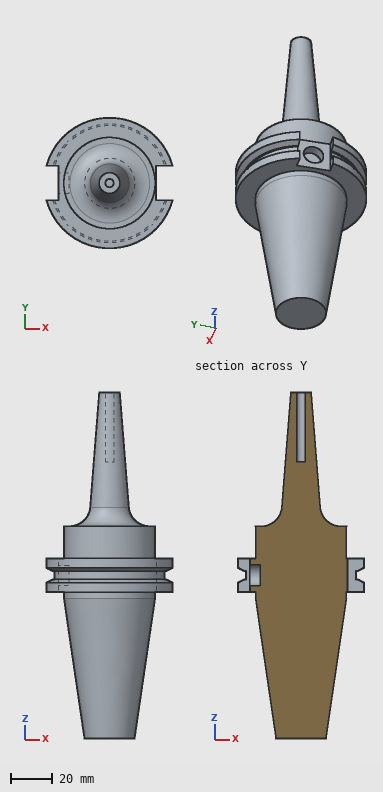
import cadquery as cq
import math

total_height = 168.2
gauge_height = 68.3
flange_bottom = 71.2
flange_top = 87.7
shoulder_height = 103.3

shank_end_diameter = 24.4
body_diameter = 44.5
flange_diameter = 63.6
nose_tip_diameter = 10.1
bore_diameter = 4.0

nose_half_angle = 4.5
blend_radius = 10.0

groove_root_diameter = 56.2
groove_ledge_diameter = 57.7
groove_root_width = 4.0
groove_mouth_width = 7.0
groove_height = (flange_bottom + flange_top) / 2
groove_clearance = 1.7

slot_width = 16.7
slot_floor_left = 24.9
slot_floor_right = 22.7

recess_diameter = 10.0
recess_depth = 5.0
bore_depth = 33.6


def revolve_about_z(sketch):
    return sketch.close().revolve(360, (0, 0, 0), (0, 1, 0))


def make_body():
    body_radius = body_diameter / 2
    flange_radius = flange_diameter / 2
    tip_radius = nose_tip_diameter / 2
    angle = math.radians(nose_half_angle)

    blend_center_height = shoulder_height + blend_radius
    cone_end_height = blend_center_height - blend_radius * math.sin(angle)
    cone_end_radius = tip_radius + (total_height - cone_end_height) * math.tan(angle)
    blend_center_radius = cone_end_radius + blend_radius * math.cos(angle)
    mid_angle = (math.pi / 2 + angle) / 2
    blend_middle = (
        blend_center_radius - blend_radius * math.cos(mid_angle),
        blend_center_height - blend_radius * math.sin(mid_angle),
    )

    sketch = (
        cq.Workplane("XZ")
        .lineTo(shank_end_diameter / 2, 0)
        .lineTo(body_radius, gauge_height)
        .lineTo(body_radius, flange_bottom)
        .lineTo(flange_radius, flange_bottom)
        .lineTo(flange_radius, flange_top)
        .lineTo(body_radius, flange_top)
        .lineTo(body_radius, shoulder_height)
        .lineTo(blend_center_radius, shoulder_height)
        .threePointArc(blend_middle, (cone_end_radius, cone_end_height))
        .lineTo(tip_radius, total_height)
        .lineTo(0, total_height)
    )
    return revolve_about_z(sketch)


def make_gripper_groove():
    root_radius = groove_root_diameter / 2
    ledge_radius = groove_ledge_diameter / 2
    mouth_radius = flange_diameter / 2
    clear_radius = mouth_radius + groove_clearance
    root_bottom = groove_height - groove_root_width / 2
    root_top = groove_height + groove_root_width / 2
    mouth_bottom = groove_height - groove_mouth_width / 2
    mouth_top = groove_height + groove_mouth_width / 2
    sketch = (
        cq.Workplane("XZ")
        .moveTo(root_radius, root_bottom)
        .lineTo(ledge_radius, root_bottom)
        .lineTo(mouth_radius, mouth_bottom)
        .lineTo(clear_radius, mouth_bottom)
        .lineTo(clear_radius, mouth_top)
        .lineTo(mouth_radius, mouth_top)
        .lineTo(ledge_radius, root_top)
        .lineTo(root_radius, root_top)
    )
    return revolve_about_z(sketch)


def make_drive_slot(side, floor_distance):
    """Slot cutter on the -X (side = -1) or +X (side = 1) side of the flange."""
    length = flange_diameter / 2
    return (
        cq.Workplane("XY")
        .box(length, slot_width, flange_top - flange_bottom)
        .translate((side * (floor_distance + length / 2), 0, groove_height))
    )


def make_slot_recess():
    return (
        cq.Workplane("YZ", origin=(-slot_floor_left, 0, groove_height))
        .circle(recess_diameter / 2)
        .extrude(recess_depth)
    )


def make_tip_bore():
    return (
        cq.Workplane("XY", origin=(0, 0, total_height))
        .circle(bore_diameter / 2)
        .extrude(-bore_depth)
    )


result = (
    make_body()
    .cut(make_gripper_groove())
    .cut(make_drive_slot(-1, slot_floor_left))
    .cut(make_drive_slot(1, slot_floor_right))
    .cut(make_slot_recess())
    .cut(make_tip_bore())
)